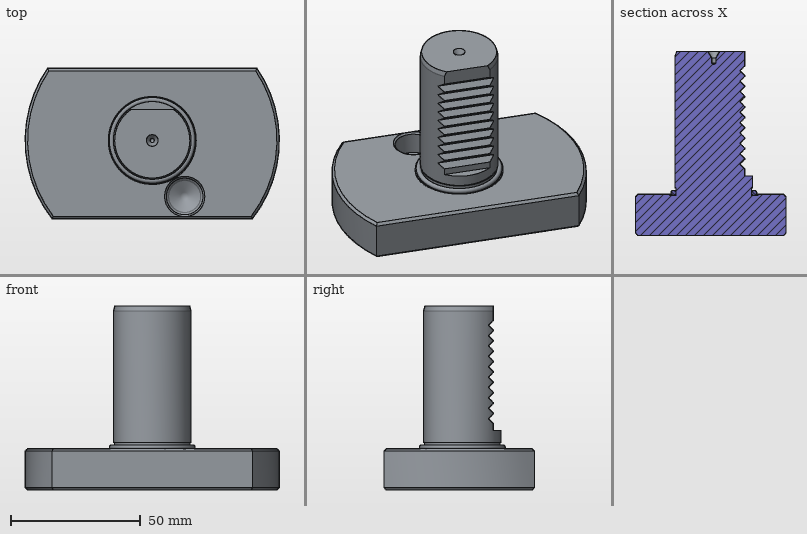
import cadquery as cq
import math

total_height = 71.0

flange_diameter = 98.0
flange_height = 16.0
flat_back_y = 27.8
flat_front_y = -30.2
flange_chamfer = 1.0

shank_radius = 15.0
shank_chamfer_height = 2.0
shank_chamfer_angle = 15.0
neck_radius = 14.6
neck_top_height = 2.45

flat_y = 12.0
flat_start_height = 7.1
tooth_count = 10
tooth_pitch = 4.0
tooth_depth = 1.9
first_notch_z = 27.5

seal_section_radius = 1.0
seal_mean_radius = neck_radius + seal_section_radius
recess_radius = 17.0
recess_depth = 0.5

hole_x = 12.495
hole_y = -21.6
hole_radius = 7.1
hole_mouth_chamfer = 0.7
hole_wall_depth = 9.2
hole_step = 0.9
drill_point_angle = 118.0

center_mouth_radius = 2.3
center_pilot_radius = 0.8
center_cone_angle = 60.0
center_pilot_length = 2.0


def cone_height(radius_change, included_angle):
    """Height over which a cone's radius changes by the given amount."""
    return radius_change / math.tan(math.radians(included_angle / 2))


def revolved(points):
    """Solid of revolution about Z from (radius, height) points."""
    return cq.Workplane("XZ").polyline(points).close().revolve(360, (0, 0), (0, 1))


def make_flange():
    flat_distance = flat_back_y - flat_front_y
    disc = cq.Workplane("XY").circle(flange_diameter / 2).extrude(flange_height)
    band = (
        cq.Workplane("XY")
        .center(0, (flat_back_y + flat_front_y) / 2)
        .rect(flange_diameter, flat_distance)
        .extrude(flange_height)
    )
    flange = disc.intersect(band).faces("<Z or >Z").chamfer(flange_chamfer)
    recess = (
        cq.Workplane("XY", origin=(0, 0, flange_height - recess_depth))
        .circle(recess_radius)
        .extrude(recess_depth)
    )
    return flange.cut(recess)


def make_shank():
    neck_bottom = flange_height - recess_depth
    neck_top = flange_height + neck_top_height
    top_radius = shank_radius - shank_chamfer_height * math.tan(math.radians(shank_chamfer_angle))
    return revolved([
        (0, neck_bottom),
        (neck_radius, neck_bottom),
        (neck_radius, neck_top),
        (shank_radius, neck_top),
        (shank_radius, total_height - shank_chamfer_height),
        (top_radius, total_height),
        (0, total_height),
    ])


def make_tooth_cutter():
    """Everything removed outside the toothed flat, spanning the shank in X."""
    flat_start_z = flange_height + flat_start_height
    outline = [(shank_radius, flat_start_z), (flat_y, flat_start_z)]
    for i in range(tooth_count):
        root_z = first_notch_z + i * tooth_pitch
        outline += [
            (flat_y, root_z - tooth_depth),
            (flat_y - tooth_depth, root_z),
            (flat_y, root_z + tooth_depth),
        ]
    outline += [(flat_y, total_height), (shank_radius, total_height)]
    return cq.Workplane("YZ").polyline(outline).close().extrude(shank_radius, both=True)


def make_side_hole():
    step_radius = hole_radius - hole_step
    step_z = flange_height - hole_wall_depth
    point_base_z = step_z - hole_step
    point_z = point_base_z - cone_height(step_radius, drill_point_angle)
    return revolved([
        (0, flange_height),
        (hole_radius + hole_mouth_chamfer, flange_height),
        (hole_radius, flange_height - hole_mouth_chamfer),
        (hole_radius, step_z),
        (step_radius, point_base_z),
        (0, point_z),
    ]).translate((hole_x, hole_y, 0))


def make_center_hole():
    cone_bottom = total_height - cone_height(
        center_mouth_radius - center_pilot_radius, center_cone_angle
    )
    pilot_bottom = cone_bottom - center_pilot_length
    point_z = pilot_bottom - cone_height(center_pilot_radius, drill_point_angle)
    return revolved([
        (0, total_height),
        (center_mouth_radius, total_height),
        (center_pilot_radius, cone_bottom),
        (center_pilot_radius, pilot_bottom),
        (0, point_z),
    ])


def make_holder():
    holder = make_flange().union(make_shank())
    for cutter in (make_tooth_cutter(), make_side_hole(), make_center_hole()):
        holder = holder.cut(cutter)
    return holder


def make_seal_ring():
    center_z = flange_height - recess_depth + seal_section_radius
    return (
        cq.Workplane("XZ")
        .center(seal_mean_radius, center_z)
        .circle(seal_section_radius)
        .revolve(360, (-seal_mean_radius, 0), (-seal_mean_radius, 1))
    )


holder = make_holder()
seal_ring = make_seal_ring()

result = cq.Compound.makeCompound([holder.solids().val(), seal_ring.val()])